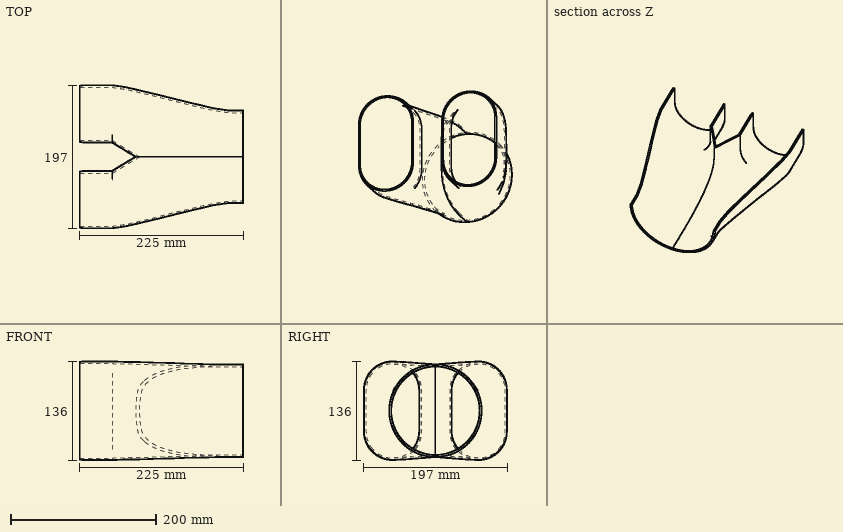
import cadquery as cq
import math


total_length = 225.0
wall = 3.0
spigot_width = 79.0
spigot_height = 136.0
spigot_spacing = 118.0
spigot_length = 44.8
lead_in_length = 5.0
lead_in_depth = 0.8
collar_diameter = 127.5
collar_length = 20.0

section_count = 9
end_tangent = 0.41
inner_lead = 0.21
side_arc_angle = math.radians(26)

spigot_radius = spigot_width / 2
flat_half_height = spigot_height / 2 - spigot_radius
spigot_y = spigot_spacing / 2
collar_radius = collar_diameter / 2
branch_end = total_length - collar_length
branch_length = branch_end - spigot_length


def blend(start, end, share):
    return start + (end - start) * share


def outline(x, side_y, corner_y, corner_z, top_y, top_z):
    """Closed wire across X: two side edges and two arcs over the top and under the bottom.

    side_y and corner_y each hold the inner and the outer place. A side whose middle and
    corners share one place is flat.
    """
    def point(y, z):
        return cq.Vector(x, y, z)

    def side(y, end_y, direction):
        start = point(end_y, -direction * corner_z)
        end = point(end_y, direction * corner_z)
        if math.isclose(y, end_y):
            return cq.Edge.makeLine(start, end)
        return cq.Edge.makeThreePointArc(start, point(y, 0), end)

    def cap(start_y, end_y, direction):
        start = point(start_y, direction * corner_z)
        end = point(end_y, direction * corner_z)
        return cq.Edge.makeThreePointArc(start, point(top_y, direction * top_z), end)

    inner_corner, outer_corner = corner_y
    edges = [
        side(side_y[1], outer_corner, 1),
        cap(outer_corner, inner_corner, 1),
        side(side_y[0], inner_corner, -1),
        cap(inner_corner, outer_corner, -1),
    ]
    return cq.Wire.assembleEdges(edges)


def branch_outline(step, inset):
    """Outline at a step from 0 (spigot) to 1 (collar), moved inwards by inset."""
    ease = step**2 * (3 - 2 * step)
    along = ease + end_tangent * step * (1 - step) * (1 - 2 * step)
    inner_share = along + inner_lead * along * (1 - along)

    slot_radius = spigot_radius - inset
    round_radius = collar_radius - inset
    round_corner_y = round_radius * math.cos(side_arc_angle)
    round_corner_z = round_radius * math.sin(side_arc_angle)
    slot_inner = spigot_y - slot_radius
    slot_outer = spigot_y + slot_radius

    inner_corner = blend(slot_inner, -round_corner_y, inner_share)
    outer_corner = blend(slot_outer, round_corner_y, ease)
    return outline(
        x=spigot_length + branch_length * along,
        side_y=(
            blend(slot_inner, -round_radius, inner_share),
            blend(slot_outer, round_radius, ease),
        ),
        corner_y=(inner_corner, outer_corner),
        corner_z=blend(flat_half_height, round_corner_z, ease),
        top_y=(inner_corner + outer_corner) / 2,
        top_z=blend(flat_half_height + slot_radius, round_radius, ease),
    )


def slot_outline(x, inset):
    """Spigot outline: flat sides with half-round top and bottom."""
    radius = spigot_radius - inset
    sides = (spigot_y - radius, spigot_y + radius)
    return outline(x, sides, sides, flat_half_height, spigot_y, flat_half_height + radius)


def make_spigot(inset, tip_inset):
    tip = cq.Solid.makeLoft(
        [slot_outline(0, tip_inset), slot_outline(lead_in_length, inset)], True
    )
    sleeve = cq.Solid.makeLoft(
        [slot_outline(lead_in_length, inset), slot_outline(spigot_length, inset)], True
    )
    return cq.Workplane(tip).union(cq.Workplane(sleeve))


def make_branch(inset):
    steps = [index / (section_count - 1) for index in range(section_count)]
    return cq.Workplane(cq.Solid.makeLoft([branch_outline(step, inset) for step in steps]))


def make_collar(inset):
    return cq.Workplane("YZ", origin=(branch_end, 0, 0)).circle(collar_radius - inset).extrude(collar_length)


def make_duct(inset, tip_inset):
    """Solid filling of one spigot, its branch and the collar."""
    return make_spigot(inset, tip_inset).union(make_branch(inset)).union(make_collar(inset))


def make_half_shell():
    shell = make_duct(0, lead_in_depth).cut(make_duct(wall, wall))
    half_space = cq.Workplane().box(
        total_length, spigot_spacing, 2 * spigot_height, centered=(False, False, True)
    )
    return shell.intersect(half_space).solids()


left_shell = make_half_shell()
right_shell = left_shell.mirror("XZ")

result = cq.Compound.makeCompound([left_shell.val(), right_shell.val()])